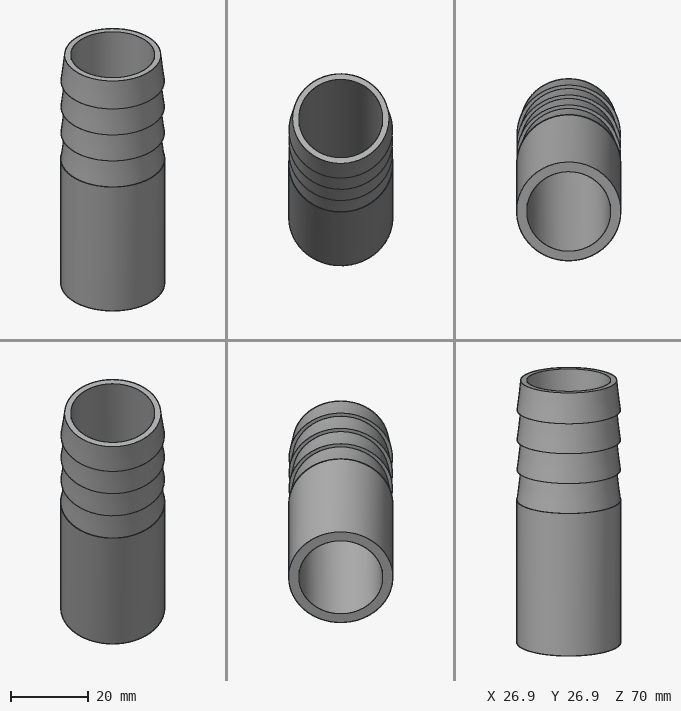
import cadquery as cq

total_height = 70.0
body_diameter = 26.9
bore_diameter = 21.6

barb_count = 4
barb_height = 8.0
barb_top_diameter = 24.8
barb_base_diameter = 26.7

body_height = total_height - barb_count * barb_height


def make_barb(base_height):
    """Solid tapered barb, widest at its base."""
    base_radius = barb_base_diameter / 2
    top_radius = barb_top_diameter / 2
    cone = cq.Solid.makeCone(base_radius, top_radius, barb_height, pnt=cq.Vector(0, 0, base_height))
    return cq.Workplane(obj=cone)


fitting = cq.Workplane("XY").circle(body_diameter / 2).extrude(body_height)

for index in range(barb_count):
    fitting = fitting.union(make_barb(body_height + index * barb_height))

bore = cq.Workplane("XY").circle(bore_diameter / 2).extrude(total_height)
result = fitting.cut(bore)